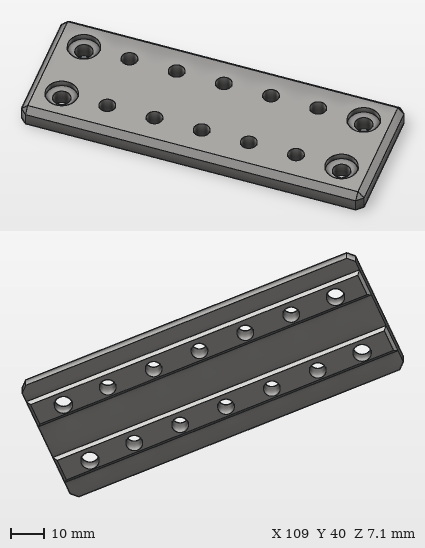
import cadquery as cq

plate_length = 109.0
plate_width = 40.0
plate_thickness = 6.1
edge_chamfer = 2.0

rail_height = 1.0
rail_root_width = 9.0
rail_offset = 0.5

row_spacing = 20.0
row_positions = (-row_spacing / 2, row_spacing / 2)
storage_hole_diameter = 5.0
storage_hole_pitch = 15.0
storage_hole_count = 5
screw_hole_diameter = 5.5
screw_head_diameter = 10.0
screw_head_depth = 2.0
screw_edge_distance = 10.0
screw_spacing = plate_length - 2 * screw_edge_distance


def make_plate():
    """Rectangular plate standing on Z = 0, with its top and upright edges bevelled together."""
    block = cq.Workplane("XY").box(
        plate_length, plate_width, plate_thickness, centered=(True, True, False)
    )
    return block.edges("|Z or >Z").chamfer(edge_chamfer)


def make_rail(y_center):
    """Full-length rail that tapers downward from the underside of the plate."""
    tip_length = plate_length - 2 * rail_height
    tip_width = rail_root_width - 2 * rail_height
    return (
        cq.Workplane("XY")
        .center(0, y_center)
        .rect(plate_length, rail_root_width)
        .workplane(offset=-rail_height)
        .rect(tip_length, tip_width)
        .loft(ruled=True)
    )


def drill_storage_holes(body):
    """Plain through holes, evenly pitched along both rows."""
    return (
        body.faces(">Z")
        .workplane(origin=(0, 0, 0))
        .rarray(storage_hole_pitch, row_spacing, storage_hole_count, len(row_positions))
        .hole(storage_hole_diameter)
    )


def drill_screw_holes(body):
    """Counterbored through holes near the four corners."""
    return (
        body.faces(">Z")
        .workplane(origin=(0, 0, 0))
        .rarray(screw_spacing, row_spacing, 2, len(row_positions))
        .cboreHole(screw_hole_diameter, screw_head_diameter, screw_head_depth)
    )


body = make_plate()
for row_y in row_positions:
    body = body.union(make_rail(row_y + rail_offset))
body = drill_storage_holes(body)
result = drill_screw_holes(body)